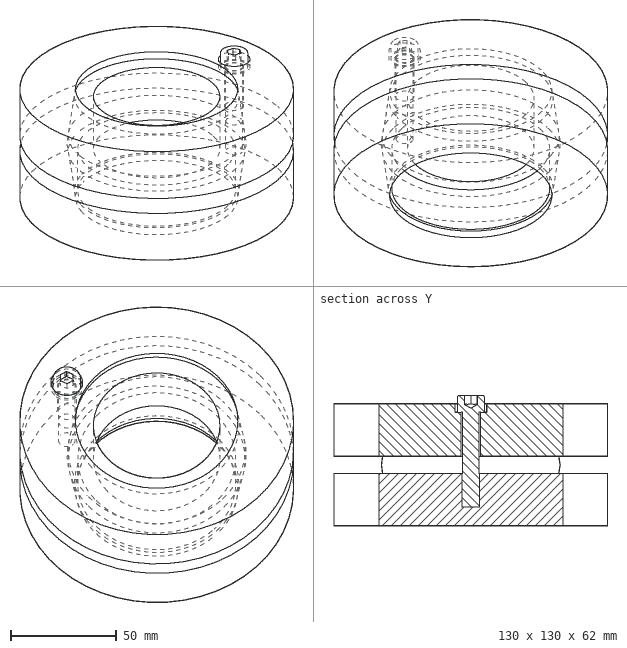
import cadquery as cq
import math

disc_diameter = 130.0
disc_height = 25.0
disc_gap = 8.0
stack_height = 2 * disc_height + disc_gap
mid_height = stack_height / 2

taper_mid_diameter = 85.0
taper_end_diameter = 77.0
ring_recess = 4.0
ring_bore_diameter = 60.0
ring_counterbore_diameter = 75.0
ring_bore_length = 28.0
ring_bottom = ring_recess
ring_top = stack_height - ring_recess

screw_y = 48.0
shank_diameter = 8.0
shank_length = 45.0
head_diameter = 13.0
head_height = 8.0
head_edge_radius = 0.8
head_projection = 4.0
socket_across_flats = 6.0
socket_depth = 4.0
socket_tip_angle = 120.0

clearance_diameter = 9.0
head_pocket_diameter = 15.0
head_seat = stack_height + head_projection - head_height
shank_bottom = head_seat - shank_length


def cylinder(diameter, bottom, top, y=0.0):
    """Vertical cylinder between two heights, with its axis at x = 0."""
    return cq.Workplane("XY", origin=(0, y, bottom)).circle(diameter / 2).extrude(top - bottom)


def taper_radius(z):
    """Radius of the double taper at height z."""
    slope = (taper_mid_diameter - taper_end_diameter) / 2 / mid_height
    return taper_mid_diameter / 2 - slope * abs(z - mid_height)


def double_taper(bottom, top):
    """Solid double cone from bottom to top, widest at mid height."""
    outline = [
        (0, bottom),
        (taper_radius(bottom), bottom),
        (taper_radius(mid_height), mid_height),
        (taper_radius(top), top),
        (0, top),
    ]
    return cq.Workplane("XZ").polyline(outline).close().revolve(360, (0, 0, 0), (0, 1, 0))


def make_disc(bottom):
    """Clamping disc with a tapered bore that fits the ring."""
    return cylinder(disc_diameter, bottom, bottom + disc_height).cut(double_taper(0, stack_height))


def make_lower_disc():
    """Disc with a blind hole that takes the screw shank."""
    return make_disc(0).cut(cylinder(shank_diameter, shank_bottom, disc_height, screw_y))


def make_upper_disc():
    """Disc with a clearance hole and a pocket for the screw head."""
    bottom = disc_height + disc_gap
    clearance_hole = cylinder(clearance_diameter, bottom, stack_height, screw_y)
    head_pocket = cylinder(head_pocket_diameter, head_seat, stack_height, screw_y)
    return make_disc(bottom).cut(clearance_hole).cut(head_pocket)


def make_ring():
    """Double-taper ring with a stepped bore, the wider part at the bottom."""
    step = ring_top - ring_bore_length
    bore = cylinder(ring_bore_diameter, step, ring_top)
    counterbore = cylinder(ring_counterbore_diameter, ring_bottom, step)
    return double_taper(ring_bottom, ring_top).cut(bore).cut(counterbore)


def make_socket(top):
    """Hexagonal socket with flats facing +X and -X and a conical bottom."""
    across_corners = socket_across_flats / math.cos(math.pi / 6)
    tip_height = across_corners / 2 / math.tan(math.radians(socket_tip_angle / 2))
    floor = top - socket_depth
    hexagon = (
        cq.Workplane("XY", origin=(0, screw_y, floor))
        .transformed(rotate=(0, 0, 90))
        .polygon(6, across_corners)
        .extrude(socket_depth)
    )
    tip = cq.Solid.makeCone(
        across_corners / 2, 0, tip_height, cq.Vector(0, screw_y, floor), cq.Vector(0, 0, -1)
    )
    prism = hexagon.translate((0, 0, -socket_depth))
    return hexagon.union(prism.intersect(cq.Workplane(tip)))


def make_screw():
    """Socket head screw with a rounded upper head edge."""
    head_top = head_seat + head_height
    head = cylinder(head_diameter, head_seat, head_top, screw_y)
    head = head.faces(">Z").edges().fillet(head_edge_radius)
    shank = cylinder(shank_diameter, shank_bottom, head_seat, screw_y)
    return head.union(shank).cut(make_socket(head_top))


lower_disc = make_lower_disc().solids()
upper_disc = make_upper_disc().solids()
ring = make_ring().solids()
screw = make_screw().solids()

result = cq.Compound.makeCompound([lower_disc.val(), upper_disc.val(), ring.val(), screw.val()])